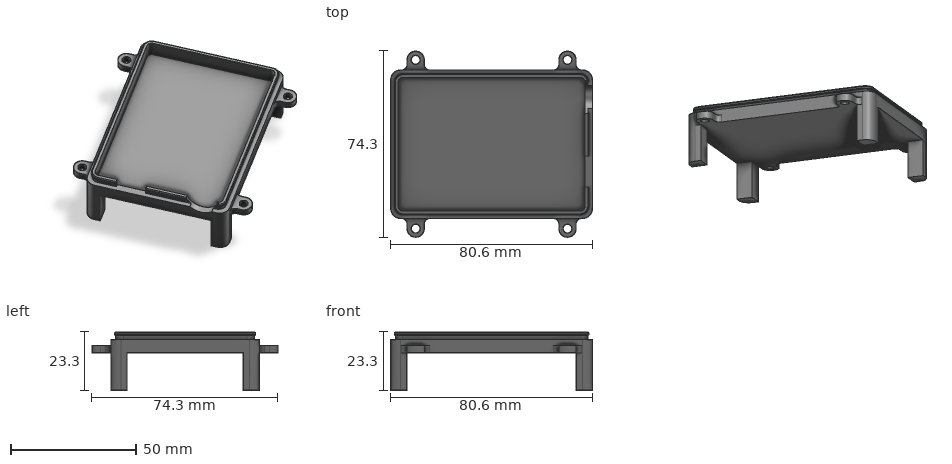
import cadquery as cq

BASE_LENGTH = 80.6
BASE_WIDTH = 59.3
BASE_CORNER_RADIUS = 4.0
BASE_BOTTOM = 15.0
SHELF_HEIGHT = 20.3
TOTAL_HEIGHT = 23.3
FLOOR_THICKNESS = 1.5

RIM_INSET = 1.85
RIM_CORNER_RADIUS = 3.15
CAVITY_INSET = 3.0
CAVITY_CORNER_RADIUS = 2.0
BEAD_HEIGHT = 1.45
BEAD_PROJECTION = 0.4

LEG_SIZE = 6.5

OVERALL_WIDTH = 74.3
EAR_RADIUS = 3.5
EAR_THICKNESS = 3.0
EAR_HOLE_DIAMETER = 3.5
EAR_FILLET_RADIUS = 2.1
EAR_SPACING = 60.6

FINGER_NOTCH_RADIUS = 7.0
FINGER_NOTCH_Y = 18.9
FINGER_NOTCH_AXIS_HEIGHT = 25.6
SLOT_WIDTH = 12.25
SLOT_Y = -10.9

CAVITY_FLOOR = BASE_BOTTOM + FLOOR_THICKNESS
CAVITY_END = BASE_LENGTH / 2 - CAVITY_INSET
EAR_CENTER_Y = OVERALL_WIDTH / 2 - EAR_RADIUS


def rounded_block(inset, corner_radius, bottom, top):
    """Block inset from the base outline, with rounded vertical corners."""
    return (
        cq.Workplane("XY")
        .workplane(offset=bottom)
        .rect(BASE_LENGTH - 2 * inset, BASE_WIDTH - 2 * inset)
        .extrude(top - bottom)
        .edges("|Z")
        .fillet(corner_radius)
    )


def base_with_legs():
    """Base block undercut along both directions, leaving a leg at each corner."""
    base = rounded_block(0, BASE_CORNER_RADIUS, 0, SHELF_HEIGHT)
    gap_along_x = cq.Workplane("XY").rect(BASE_LENGTH - 2 * LEG_SIZE, BASE_WIDTH).extrude(BASE_BOTTOM)
    gap_along_y = cq.Workplane("XY").rect(BASE_LENGTH, BASE_WIDTH - 2 * LEG_SIZE).extrude(BASE_BOTTOM)
    return base.cut(gap_along_x).cut(gap_along_y)


def rim_with_bead():
    """Raised rim carrying a bead chamfered above and below."""
    rim = rounded_block(RIM_INSET, RIM_CORNER_RADIUS, SHELF_HEIGHT, TOTAL_HEIGHT)
    bead = rounded_block(
        RIM_INSET - BEAD_PROJECTION,
        RIM_CORNER_RADIUS + BEAD_PROJECTION,
        TOTAL_HEIGHT - BEAD_HEIGHT,
        TOTAL_HEIGHT,
    )
    return rim.union(bead.faces("<Z or >Z").edges().chamfer(BEAD_PROJECTION))


def screw_ear(x, side):
    """Round-ended ear on the +Y (side = 1) or -Y (side = -1) wall, flared into it."""
    wall_y = BASE_WIDTH / 2
    root_y = wall_y - RIM_INSET
    flare_y = wall_y + EAR_FILLET_RADIUS
    flare_half_width = EAR_RADIUS + EAR_FILLET_RADIUS
    ear = (
        cq.Workplane("XY")
        .moveTo(-flare_half_width, root_y)
        .lineTo(-flare_half_width, wall_y)
        .radiusArc((-EAR_RADIUS, flare_y), -EAR_FILLET_RADIUS)
        .lineTo(-EAR_RADIUS, EAR_CENTER_Y)
        .threePointArc((0, EAR_CENTER_Y + EAR_RADIUS), (EAR_RADIUS, EAR_CENTER_Y))
        .lineTo(EAR_RADIUS, flare_y)
        .radiusArc((flare_half_width, wall_y), -EAR_FILLET_RADIUS)
        .lineTo(flare_half_width, root_y)
        .close()
        .extrude(EAR_THICKNESS)
    )
    hole = cq.Workplane("XY").center(0, EAR_CENTER_Y).circle(EAR_HOLE_DIAMETER / 2).extrude(EAR_THICKNESS)
    ear = ear.cut(hole)
    if side < 0:
        ear = ear.mirror("XZ")
    return ear.translate((x, 0, BASE_BOTTOM))


def finger_notch():
    """Cylinder along X that scoops through the rim and shelf of the +X wall."""
    return (
        cq.Workplane("YZ")
        .workplane(offset=CAVITY_END)
        .center(FINGER_NOTCH_Y, FINGER_NOTCH_AXIS_HEIGHT)
        .circle(FINGER_NOTCH_RADIUS)
        .extrude(CAVITY_INSET)
    )


def rim_slot():
    """Rectangular gap through the +X rim, level with the shelf."""
    return cq.Workplane("XY").box(
        CAVITY_INSET, SLOT_WIDTH, TOTAL_HEIGHT - SHELF_HEIGHT, centered=(False, True, False)
    ).translate((CAVITY_END, SLOT_Y, SHELF_HEIGHT))


result = base_with_legs().union(rim_with_bead())

for ear_x in (-EAR_SPACING / 2, EAR_SPACING / 2):
    for ear_side in (-1, 1):
        result = result.union(screw_ear(ear_x, ear_side))

cavity = rounded_block(CAVITY_INSET, CAVITY_CORNER_RADIUS, CAVITY_FLOOR, TOTAL_HEIGHT)
result = result.cut(cavity).cut(finger_notch()).cut(rim_slot())